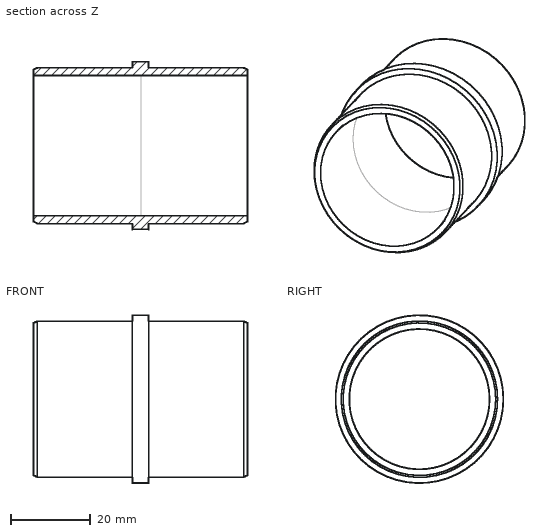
import cadquery as cq

length = 54.0
tube_diameter = 39.4
bore_diameter = 35.3
collar_diameter = 42.4
collar_width = 4.1
chamfer_length = 1.0
chamfer_depth = 0.5


def cylinder(diameter, width):
    """Solid cylinder along X, centred on the origin."""
    return cq.Workplane("YZ").circle(diameter / 2).extrude(width / 2, both=True)


def chamfered_tube_body():
    """Outer tube body with a shallow lead-in chamfer at each end."""
    half_length = length / 2
    radius = tube_diameter / 2
    profile = [
        (-half_length, 0),
        (-half_length, radius - chamfer_depth),
        (-half_length + chamfer_length, radius),
        (half_length - chamfer_length, radius),
        (half_length, radius - chamfer_depth),
        (half_length, 0),
    ]
    return cq.Workplane("XY").polyline(profile).close().revolve(360, (0, 0, 0), (1, 0, 0))


collar = cylinder(collar_diameter, collar_width)
through_bore = cylinder(bore_diameter, length)

result = chamfered_tube_body().union(collar).cut(through_bore)